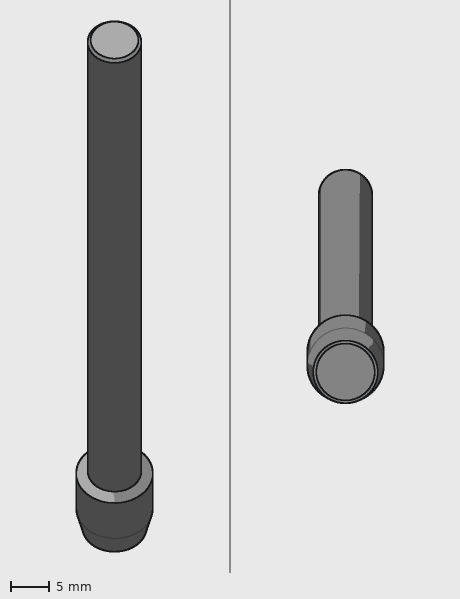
import cadquery as cq

total_length = 100.0
rod_radius = 3.5
tip_chamfer = 0.4
foot_radius = 3.8
foot_height = 11.1

collar_radius = 5.0
collar_base_radius = 4.2
taper_height = 3.8
shoulder_height = 11.0
collar_height = 11.5


def make_rod():
    """Round rod with a wider foot and a chamfered upper end."""
    rod = cq.Workplane("XY").circle(rod_radius).extrude(total_length)
    rod = rod.faces(">Z").edges().chamfer(tip_chamfer)
    foot = cq.Workplane("XY").circle(foot_radius).extrude(foot_height)
    return rod.union(foot)


def make_collar():
    """Stepped sleeve that holds the foot, tapered below and conical on top."""
    profile = [
        (foot_radius, 0),
        (collar_base_radius, 0),
        (collar_radius, taper_height),
        (collar_radius, shoulder_height),
        (rod_radius, collar_height),
        (rod_radius, foot_height),
        (foot_radius, foot_height),
    ]
    section = cq.Workplane("XZ").polyline(profile).close()
    return section.revolve(360, (0, 0, 0), (0, 1, 0))


rod = make_rod()
collar = make_collar()

result = cq.Compound.makeCompound([rod.val(), collar.val()])